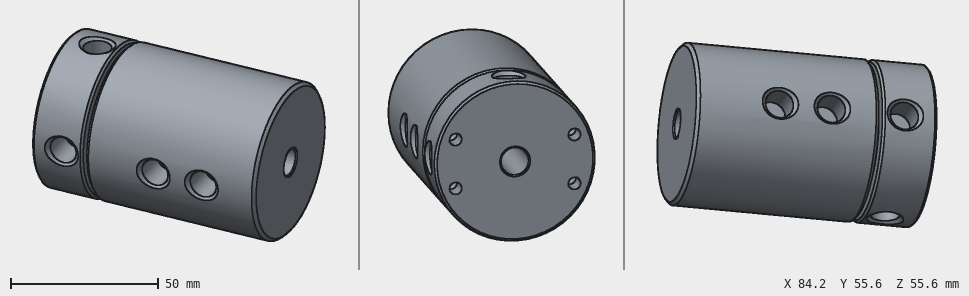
import cadquery as cq
import math

length = 84.2
outer_diameter = 55.6
outer_radius = outer_diameter / 2

collar_length = 19.0
neck_length = 1.2
neck_diameter = 44.45
collar_chamfer = 0.8
body_chamfer = 1.2

bore_diameter = 9.5
bore_chamfer = 0.5

port_diameter = 9.8
port_mouth_diameter = 12.6
port_depth = 12.6
collar_port_x = 11.2
first_body_port_x = 36.8
body_port_pitch = 9.1

drill_diameter = 4.2
drill_depth = 8.4
drill_point_angle = 118.0
drill_offset_y = 20.5
drill_offset_z = 8.5

BACK, TOP, FRONT, BOTTOM = 0, 90, 180, 270


def disc(start_x, thickness, diameter):
    """Solid cylinder on the X axis."""
    return cq.Workplane("YZ").workplane(offset=start_x).circle(diameter / 2).extrude(thickness)


def make_blank():
    """Collar, neck and body as one turned piece."""
    body_start = collar_length + neck_length
    collar = disc(0, collar_length, outer_diameter).edges().chamfer(collar_chamfer)
    body = disc(body_start, length - body_start, outer_diameter).edges().chamfer(body_chamfer)
    neck = disc(collar_length, neck_length, neck_diameter)
    return collar.union(neck).union(body)


def make_bore():
    """Cutter for the through bore, flared at both ends."""
    bore_radius = bore_diameter / 2
    mouth_radius = bore_radius + bore_chamfer
    profile = [
        (0, 0),
        (0, mouth_radius),
        (bore_chamfer, bore_radius),
        (length - bore_chamfer, bore_radius),
        (length, mouth_radius),
        (length, 0),
    ]
    return cq.Workplane("XY").polyline(profile).close().revolve(360, (0, 0, 0), (1, 0, 0))


def make_port(x, direction):
    """Cutter for one radial port: a half section revolved about the port axis."""
    port_radius = port_diameter / 2
    mouth_radius = port_mouth_diameter / 2
    floor_y = outer_radius - port_depth
    countersink_end_y = outer_radius - (mouth_radius - port_radius)
    profile = [
        (0, floor_y),
        (port_radius, floor_y),
        (port_radius, countersink_end_y),
        (mouth_radius, outer_radius),
        (0, outer_radius),
    ]
    port = cq.Workplane("XY").polyline(profile).close().revolve(360, (0, 0, 0), (0, 1, 0))
    return port.rotate((0, 0, 0), (1, 0, 0), direction).translate((x, 0, 0))


def make_drilled_hole(y, z):
    """Cutter for one blind hole with a conical drill point."""
    drill_radius = drill_diameter / 2
    point_length = drill_radius / math.tan(math.radians(drill_point_angle / 2))
    profile = [
        (0, 0),
        (0, drill_radius),
        (drill_depth, drill_radius),
        (drill_depth + point_length, 0),
    ]
    hole = cq.Workplane("XY").polyline(profile).close().revolve(360, (0, 0, 0), (1, 0, 0))
    return hole.translate((0, y, z))


result = make_blank().cut(make_bore())

for direction in (BACK, TOP, FRONT, BOTTOM):
    result = result.cut(make_port(collar_port_x, direction))

for index, direction in enumerate((BACK, FRONT, BACK, FRONT)):
    result = result.cut(make_port(first_body_port_x + index * body_port_pitch, direction))

for y in (-drill_offset_y, drill_offset_y):
    for z in (-drill_offset_z, drill_offset_z):
        result = result.cut(make_drilled_hole(y, z))